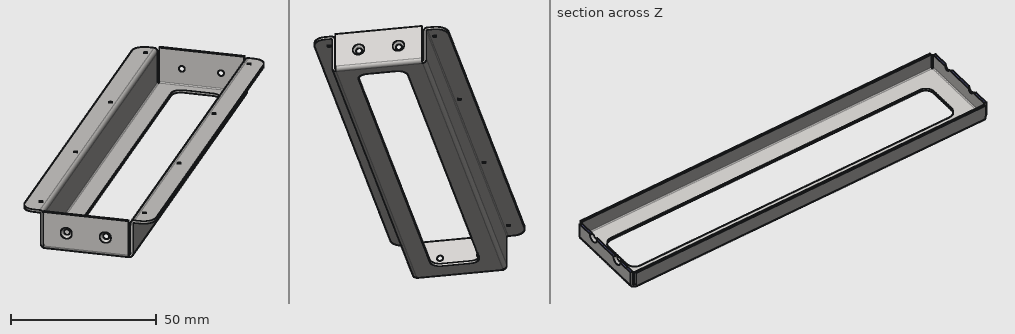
import cadquery as cq
import math

length = 150.0
width = 47.0
height = 14.0
channel_width = 33.0

thickness = 1.0
inner_radius = 0.38
outer_radius = inner_radius + thickness

floor_width = channel_width - 2 * outer_radius
floor_length = length - 2 * outer_radius

flange_corner_radius = 4.5

pattern_offset = 1.2

window_width = 17.2
window_length = 137.0
window_corner_radius = 3.5

flange_hole_diameter = 1.2
flange_hole_count = 4
flange_hole_pitch = 45.0
flange_hole_spacing = 36.9

end_hole_diameter = 2.0
countersink_diameter = 4.0
countersink_angle = 90
end_hole_spacing = 14.0
end_hole_height = height / 2

DIAGONAL = math.sqrt(0.5)


def bent_wall(profile, bend_start, wall_top):
    """Draw a floor edge bent up into a wall; the outline stays open at the wall's outer top."""
    return (
        profile.moveTo(0, 0)
        .lineTo(bend_start, 0)
        .threePointArc(
            (bend_start + outer_radius * DIAGONAL, outer_radius * (1 - DIAGONAL)),
            (bend_start + outer_radius, outer_radius),
        )
        .lineTo(bend_start + outer_radius, wall_top)
    )


def close_bent_wall(profile, bend_start):
    """Finish the inner face of a bent wall back to the middle of the floor."""
    return (
        profile.lineTo(bend_start + inner_radius, outer_radius)
        .threePointArc(
            (bend_start + inner_radius * DIAGONAL, outer_radius - inner_radius * DIAGONAL),
            (bend_start, thickness),
        )
        .lineTo(0, thickness)
        .close()
    )


def make_side():
    """Half floor, +X side wall and its outward flange."""
    bend_start = floor_width / 2
    wall_outer = channel_width / 2
    flange_bend_x = wall_outer + inner_radius
    flange_bend_z = height - outer_radius

    profile = bent_wall(cq.Workplane("XZ"), bend_start, flange_bend_z)
    profile = (
        profile.threePointArc(
            (flange_bend_x - inner_radius * DIAGONAL, flange_bend_z + inner_radius * DIAGONAL),
            (flange_bend_x, height - thickness),
        )
        .lineTo(width / 2, height - thickness)
        .lineTo(width / 2, height)
        .lineTo(flange_bend_x, height)
        .threePointArc(
            (flange_bend_x - outer_radius * DIAGONAL, flange_bend_z + outer_radius * DIAGONAL),
            (wall_outer - thickness, flange_bend_z),
        )
    )
    side = close_bent_wall(profile, bend_start).extrude(floor_length / 2, both=True)
    return side.edges("|Z and >X").fillet(flange_corner_radius)


def make_end():
    """Half floor and the +Y end wall."""
    bend_start = floor_length / 2
    profile = bent_wall(cq.Workplane("YZ"), bend_start, height)
    profile = profile.lineTo(bend_start + inner_radius, height)
    return close_bent_wall(profile, bend_start).extrude(floor_width / 2, both=True)


def cut_window(body):
    window = (
        cq.Workplane("XY")
        .center(0, pattern_offset)
        .rect(window_width, window_length)
        .extrude(thickness)
        .edges("|Z")
        .fillet(window_corner_radius)
    )
    return body.cut(window)


def cut_flange_holes(body):
    holes = (
        cq.Workplane("XY")
        .workplane(offset=height - thickness)
        .center(0, pattern_offset)
        .rarray(flange_hole_spacing, flange_hole_pitch, 2, flange_hole_count)
        .circle(flange_hole_diameter / 2)
        .extrude(thickness)
    )
    return body.cut(holes)


def cut_end_holes(body):
    """Countersink two holes from the outside of each end wall."""
    for face in ("<Y", ">Y"):
        body = (
            body.faces(face)
            .workplane(origin=(0, 0, end_hole_height))
            .rarray(end_hole_spacing, 1.5, 2, 1)
            .cskHole(end_hole_diameter, countersink_diameter, countersink_angle, depth=2 * thickness)
        )
    return body


side = make_side()
end = make_end()
tray = side.union(side.mirror("YZ")).union(end).union(end.mirror("XZ")).clean()
tray = cut_window(tray)
tray = cut_flange_holes(tray)
result = cut_end_holes(tray)